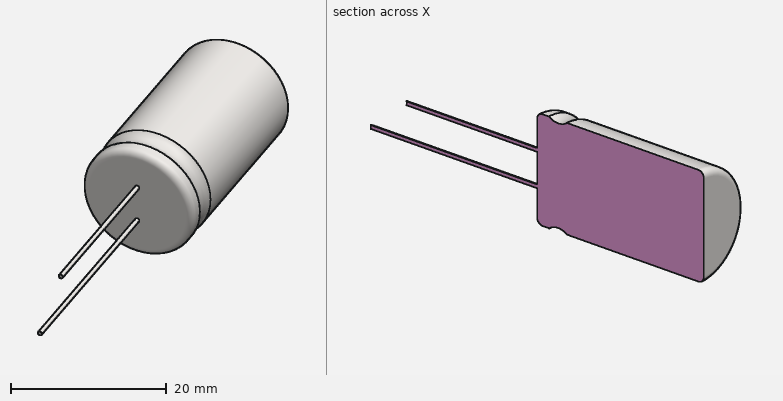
import cadquery as cq


total_length = 55.7
can_diameter = 16.0
can_length = 27.95
rim_fillet = 1.0

groove_center = 3.55
groove_width = 3.0
groove_depth = 0.5

lead_diameter = 0.6
lead_pitch = 5.2
long_lead_length = total_length - can_length
short_lead_length = 21.8

lead_embed = 0.55

can_radius = can_diameter / 2


def make_can():
    """Revolve the can profile, crimp groove included, and round both rims."""
    groove_start = groove_center - groove_width / 2
    groove_end = groove_center + groove_width / 2
    profile = (
        cq.Workplane("XY")
        .lineTo(can_radius, 0)
        .lineTo(can_radius, groove_start)
        .threePointArc((can_radius - groove_depth, groove_center), (can_radius, groove_end))
        .lineTo(can_radius, can_length)
        .lineTo(0, can_length)
        .close()
    )
    can = profile.revolve(360, (0, 0, 0), (0, 1, 0))
    return can.faces("<Y or >Y").edges().fillet(rim_fillet)


def make_lead(height, length):
    """Round wire at the given Z, reaching from inside the can to Y = -length."""
    return (
        cq.Workplane("XZ", origin=(0, lead_embed, height))
        .circle(lead_diameter / 2)
        .extrude(length + lead_embed)
    )


short_lead = make_lead(lead_pitch / 2, short_lead_length)
long_lead = make_lead(-lead_pitch / 2, long_lead_length)

result = make_can().union(short_lead).union(long_lead)